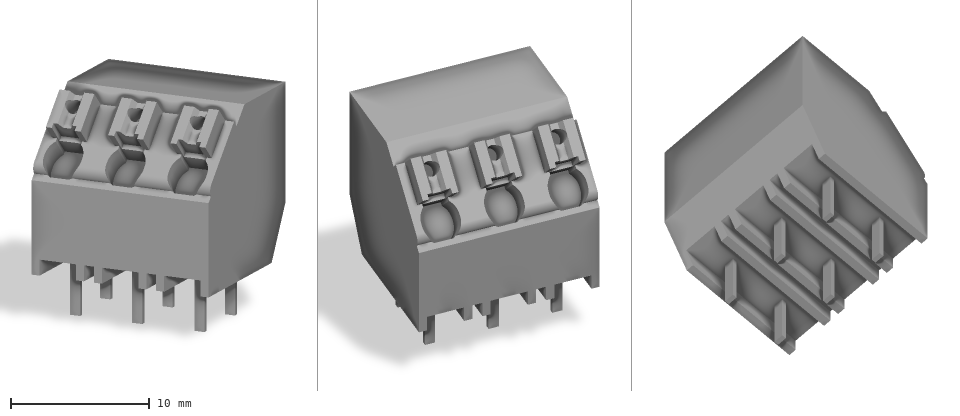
import cadquery as cq
import math


width = 14.2
depth = 12.7
pin_length_below = 3.5
overall_height = 16.66
button_peak_z = overall_height - pin_length_below

pole_count = 3
pole_pitch = 5.0
pole_xs = [width / 2 + (i - (pole_count - 1) / 2) * pole_pitch for i in range(pole_count)]

housing_height = 13.0
front_face_height = 7.06
rear_chamfer_height = 3.95
rear_chamfer_angle = 60.0
rear_chamfer_depth = rear_chamfer_height / math.tan(math.radians(rear_chamfer_angle))

diagonal = math.sqrt(0.5)
slope_plane = cq.Plane(
    origin=(0, 0, front_face_height),
    xDir=(1, 0, 0),
    normal=(0, -diagonal, diagonal),
)
plate_height = 0.6
plate_lip_start = 1.27
plate_lip_radius = 0.7
plate_end = 6.55

slot_height = 1.2
pin_slot_width = 2.92
gap_slot_width = 0.8

entry_upper_along = 1.97
entry_lower_along = 1.73
entry_radius = 1.5
entry_floor = -1.27
entry_channel_width = 2.03
entry_foot_width = 1.5

button_width = 2.8
button_front = 3.35
button_back = plate_end
button_bottom = entry_floor
button_top = (button_peak_z - front_face_height) / diagonal - button_back
notch_width = 1.83
notch_depth = 0.4
notch_floor = 0.27
groove_depth = 0.5
groove_top_width = 1.17
groove_floor_width = 0.62
dimple_radius = groove_top_width / 2
dimple_from_back = 1.0
dimple_floor = notch_floor

pin_width = 0.8
pin_thickness = 0.37
pin_row_ys = [3.02, 8.01]


def slope_point(along, out):
    """(y, z) of a point given in the coordinates of the slope."""
    return (diagonal * (along - out), front_face_height + diagonal * (along + out))


def slope_box(x_center, box_width, along_range, out_range):
    """Box whose sides follow the slope, centred on x_center."""
    along_low, along_high = along_range
    out_low, out_high = out_range
    return (
        cq.Workplane(slope_plane)
        .box(box_width, along_high - along_low, out_high - out_low, centered=(True, False, False))
        .translate(slope_plane.toWorldCoords((x_center, along_low, out_low)) - slope_plane.origin)
    )


def slope_cylinder(x_center, along, radius, out_range):
    """Cylinder standing square to the slope."""
    out_low, out_high = out_range
    return (
        cq.Workplane(slope_plane)
        .workplane(offset=out_low)
        .center(x_center, along)
        .circle(radius)
        .extrude(out_high - out_low)
    )


def housing_block():
    """Side outline swept across the width, with a raised plate that ends in a rounded lip."""
    lip_center_out = plate_height - plate_lip_radius
    lip_foot = plate_lip_start - math.sqrt(plate_lip_radius**2 - lip_center_out**2)
    lip_middle = slope_point(
        plate_lip_start - plate_lip_radius * diagonal,
        lip_center_out + plate_lip_radius * diagonal,
    )
    slope_top_y = housing_height - front_face_height
    return (
        cq.Workplane("YZ")
        .moveTo(0, 0)
        .lineTo(0, front_face_height)
        .lineTo(*slope_point(lip_foot, 0))
        .threePointArc(lip_middle, slope_point(plate_lip_start, plate_height))
        .lineTo(*slope_point(plate_end, plate_height))
        .lineTo(*slope_point(plate_end, 0))
        .lineTo(slope_top_y, housing_height)
        .lineTo(depth, housing_height)
        .lineTo(depth, rear_chamfer_height)
        .lineTo(depth - rear_chamfer_depth, 0)
        .close()
        .extrude(width)
    )


def underside_slot(x_center, slot_width):
    """Slot open at the bottom, from the front face to the rear."""
    return (
        cq.Workplane("XY")
        .box(slot_width, depth, slot_height, centered=(True, False, False))
        .translate((x_center, 0, 0))
    )


def button_blank(x_center):
    """Plain block of a button, which is also the recess that it fills in the housing."""
    return slope_box(x_center, button_width, (button_front, button_back), (button_bottom, button_top))


def wire_entry(x_center):
    """Round-sided pocket with a short flat foot and a channel up to the button."""
    foot_half = entry_foot_width / 2
    channel_half = entry_channel_width / 2
    foot_along = entry_lower_along - math.sqrt(entry_radius**2 - foot_half**2)
    channel_along = entry_upper_along + math.sqrt(entry_radius**2 - channel_half**2)
    return (
        cq.Workplane(slope_plane)
        .workplane(offset=entry_floor)
        .center(x_center, 0)
        .moveTo(-foot_half, foot_along)
        .lineTo(foot_half, foot_along)
        .radiusArc((entry_radius, entry_lower_along), -entry_radius)
        .lineTo(entry_radius, entry_upper_along)
        .radiusArc((channel_half, channel_along), -entry_radius)
        .lineTo(channel_half, button_front)
        .lineTo(-channel_half, button_front)
        .lineTo(-channel_half, channel_along)
        .radiusArc((-entry_radius, entry_upper_along), -entry_radius)
        .lineTo(-entry_radius, entry_lower_along)
        .radiusArc((-foot_half, foot_along), -entry_radius)
        .close()
        .extrude(button_top - entry_floor)
    )


def make_housing():
    housing = housing_block()
    for x in pole_xs:
        housing = housing.cut(underside_slot(x, pin_slot_width))
        housing = housing.cut(button_blank(x)).cut(wire_entry(x))
    for x in pole_xs[:-1]:
        housing = housing.cut(underside_slot(x + pole_pitch / 2, gap_slot_width))
    return housing


def screwdriver_groove(x_center):
    """Groove with sloping sides along the whole top of a button."""
    return (
        cq.Workplane(slope_plane)
        .transformed(rotate=(90, 0, 0), offset=(x_center, button_back, button_top))
        .moveTo(-groove_top_width / 2, 0)
        .lineTo(groove_top_width / 2, 0)
        .lineTo(groove_floor_width / 2, -groove_depth)
        .lineTo(-groove_floor_width / 2, -groove_depth)
        .close()
        .extrude(button_back - button_front)
    )


def make_button(x_center):
    notch = slope_box(
        x_center, notch_width, (button_front, button_front + notch_depth), (notch_floor, button_top)
    )
    dimple = slope_cylinder(
        x_center, button_back - dimple_from_back, dimple_radius, (dimple_floor, button_top)
    )
    return button_blank(x_center).cut(notch).cut(screwdriver_groove(x_center)).cut(dimple)


def make_pin(x_center, y_center):
    """Flat pin hanging from the ceiling of its underside slot."""
    return (
        cq.Workplane("XY")
        .box(pin_width, pin_thickness, pin_length_below + slot_height, centered=(True, True, False))
        .translate((x_center, y_center, -pin_length_below))
    )


housing = make_housing()
buttons = [make_button(x) for x in pole_xs]
pins = [make_pin(x, y) for x in pole_xs for y in pin_row_ys]

result = cq.Compound.makeCompound(
    [
        housing.val(),
        *[button.val() for button in buttons],
        *[pin.val() for pin in pins],
    ]
)